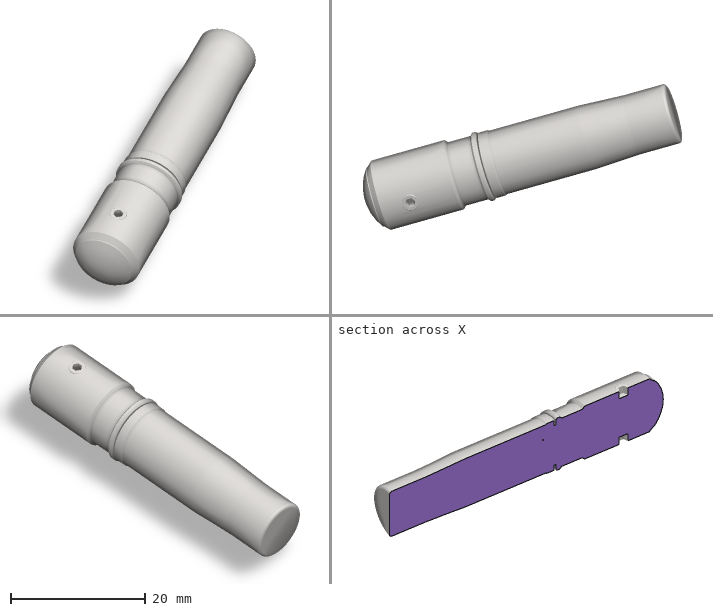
import cadquery as cq
import math

TOTAL_LENGTH = 48.2
DOME_HEIGHT = 1.55
NOSE_RIM_Y = 1.7
HEAD_START = 2.5
HEAD_END = 13.9
NECK_START = 14.3
FLANGE_START = 17.95
FLANGE_RIM_START = 18.2
FLANGE_RIM_END = 18.7
GROOVE_START = 18.95
GROOVE_END = 19.2
COLLAR_END = 20.75
COLLAR_CHAMFER = 0.15
TAPER_START = 34.75
TAPER_END = 41.75

DOME_RADIUS = 4.6
HEAD_DIAMETER = 10.75
HEAD_RADIUS = HEAD_DIAMETER / 2
BODY_RADIUS = 4.9
FLANGE_RADIUS = 5.3
COLLAR_RADIUS = 5.05
GROOVE_RADIUS = 4.05
TAIL_RADIUS = 4.6
TIP_FILLET = 0.5

SCREW_Y = 7.05
SCREW_RADIUS = 1.3
SCREW_CHAMFER = 0.1
SCREW_LENGTH = 1.95
HEX_ACROSS_FLATS = 1.35
HEX_DEPTH = 1.45


def turned_body():
    """Revolve the stepped profile about the Y axis."""
    sphere_radius = (DOME_RADIUS**2 + DOME_HEIGHT**2) / (2 * DOME_HEIGHT)
    half_angle = math.asin(DOME_RADIUS / sphere_radius) / 2
    dome_middle = (
        sphere_radius * math.sin(half_angle),
        sphere_radius * (1 - math.cos(half_angle)),
    )
    profile = (
        cq.Workplane("XY")
        .moveTo(0, 0)
        .threePointArc(dome_middle, (DOME_RADIUS, DOME_HEIGHT))
        .lineTo(DOME_RADIUS, NOSE_RIM_Y)
        .lineTo(HEAD_RADIUS, HEAD_START)
        .lineTo(HEAD_RADIUS, HEAD_END)
        .lineTo(BODY_RADIUS, NECK_START)
        .lineTo(BODY_RADIUS, FLANGE_START)
        .lineTo(FLANGE_RADIUS, FLANGE_RIM_START)
        .lineTo(FLANGE_RADIUS, FLANGE_RIM_END)
        .lineTo(COLLAR_RADIUS, GROOVE_START)
        .lineTo(GROOVE_RADIUS, GROOVE_START)
        .lineTo(GROOVE_RADIUS, GROOVE_END)
        .lineTo(COLLAR_RADIUS, GROOVE_END)
        .lineTo(COLLAR_RADIUS, COLLAR_END - COLLAR_CHAMFER)
        .lineTo(BODY_RADIUS, COLLAR_END)
        .lineTo(BODY_RADIUS, TAPER_START)
        .spline(
            [(TAIL_RADIUS, TAPER_END)],
            tangents=[(0, 1), (0, 1)],
            includeCurrent=True,
        )
        .lineTo(TAIL_RADIUS, TOTAL_LENGTH)
        .lineTo(0, TOTAL_LENGTH)
        .close()
    )
    body = profile.revolve(360, (0, 0, 0), (0, 1, 0))
    return body.faces(">Y").edges().fillet(TIP_FILLET)


def set_screw():
    """Flat, chamfered screw end facing +Z, sunk into the head."""
    return (
        cq.Workplane("XY", origin=(0, SCREW_Y, HEAD_RADIUS))
        .circle(SCREW_RADIUS)
        .extrude(-SCREW_LENGTH)
        .faces(">Z")
        .edges()
        .chamfer(SCREW_CHAMFER)
    )


def hex_socket():
    """Hexagonal key socket with two corners on the Y direction."""
    across_corners = HEX_ACROSS_FLATS / math.cos(math.pi / 6)
    return (
        cq.Workplane("XY", origin=(0, SCREW_Y, HEAD_RADIUS))
        .transformed(rotate=(0, 0, 90))
        .polygon(6, across_corners)
        .extrude(-HEX_DEPTH)
    )


screw = set_screw()
socket = hex_socket()
result = (
    turned_body()
    .union(screw)
    .union(screw.mirror("XY"))
    .cut(socket)
    .cut(socket.mirror("XY"))
)